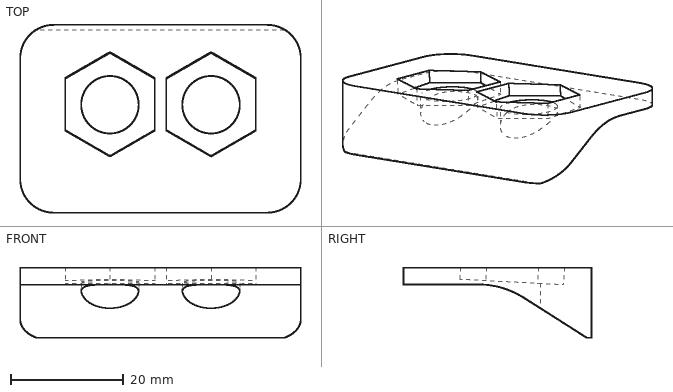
import cadquery as cq
import math

length = 50.0
width = 33.48
corner_radius = 6.0
plate_thickness = 3.0

total_height = 12.5
ridge_flat = 0.85
slope_angle = math.radians(32.5)
blend_radius = 15.0

hole_spacing = 18.0
hole_diameter = 10.2
hole_y = 2.5
nut_across_flats = 16.0
nut_pocket_depth = 2.5
nut_tilt_degrees = 3.0
cutter_overrun = 2.0

back_y = width / 2
front_y = -width / 2
hole_positions = [(-hole_spacing / 2, hole_y), (hole_spacing / 2, hole_y)]


def make_body():
    """Extrude the side profile along X and round its four upright corners."""
    underside_z = -plate_thickness
    foot_z = -total_height
    foot_y = back_y - ridge_flat

    slope_run = (total_height - plate_thickness) / math.tan(slope_angle)
    meeting_y = foot_y - slope_run
    tangent_length = blend_radius * math.tan(slope_angle / 2)

    blend_end_y = meeting_y - tangent_length
    blend_start_y = meeting_y + tangent_length * math.cos(slope_angle)
    blend_start_z = underside_z - tangent_length * math.sin(slope_angle)
    blend_middle_y = blend_end_y + blend_radius * math.sin(slope_angle / 2)
    blend_middle_z = underside_z - blend_radius * (1 - math.cos(slope_angle / 2))

    return (
        cq.Workplane("YZ", origin=(-length / 2, 0, 0))
        .moveTo(front_y, 0)
        .lineTo(front_y, underside_z)
        .lineTo(blend_end_y, underside_z)
        .threePointArc((blend_middle_y, blend_middle_z), (blend_start_y, blend_start_z))
        .lineTo(foot_y, foot_z)
        .lineTo(back_y, foot_z)
        .lineTo(back_y, 0)
        .close()
        .extrude(length)
        .edges("|Z")
        .fillet(corner_radius)
    )


def make_holes():
    """Round holes running through the full height."""
    return (
        cq.Workplane("XY")
        .pushPoints(hole_positions)
        .circle(hole_diameter / 2)
        .extrude(-total_height)
    )


def make_nut_pockets():
    """Hexagonal pockets with two flats parallel to Y, tilted about the middle of their floors."""
    corner_distance = nut_across_flats / math.sqrt(3)
    corners = []
    for index in range(6):
        angle = math.radians(30 + 60 * index)
        corners.append((corner_distance * math.cos(angle), corner_distance * math.sin(angle)))

    upright_pocket = (
        cq.Workplane("XY")
        .polyline(corners)
        .close()
        .extrude(nut_pocket_depth + cutter_overrun)
    )
    pocket = upright_pocket.rotate((0, 0, 0), (1, 0, 0), -nut_tilt_degrees)

    pockets = cq.Workplane("XY")
    for x, y in hole_positions:
        pockets = pockets.add(pocket.translate((x, y, -nut_pocket_depth)))
    return pockets.combine()


result = make_body().cut(make_holes()).cut(make_nut_pockets())